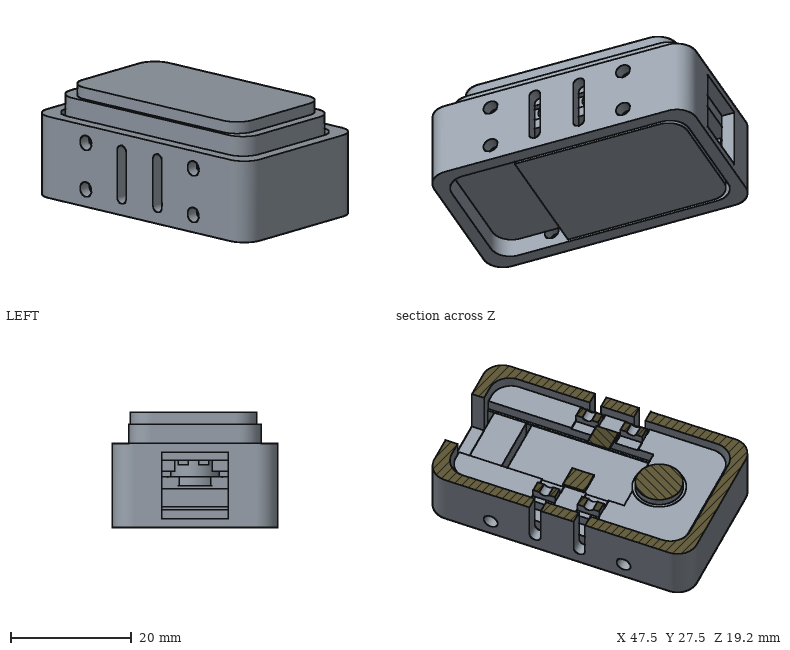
import cadquery as cq

CORNER_RADIUS = 3.5

WALL = 2.25
CAVITY_X = 43.0
CAVITY_Y = 23.0
HOUSING_X = CAVITY_X + 2 * WALL
HOUSING_Y = CAVITY_Y + 2 * WALL
HOUSING_HEIGHT = 14.0
WINDOW_SIZE = 11.0
WINDOW_CENTER_Z = 7.0
SCREW_HOLE_DIAMETER = 2.53
SCREW_HOLE_X = 12.0
SCREW_HOLE_HEIGHTS = (3.0, 11.0)
GUIDE_X = 4.0
GUIDE_SLOT_WIDTH = 2.0
GUIDE_SLOT_LENGTH = 10.0
GUIDE_SLOT_CENTER_Z = 7.0

CLEARANCE = 0.5
INNER_X = CAVITY_X - 2 * CLEARANCE
INNER_Y = CAVITY_Y - 2 * CLEARANCE

CAP_BOTTOM = 11.18
CAP_THICKNESS = 6.0
CAP_TOP = CAP_BOTTOM + CAP_THICKNESS
LUG_WIDTH = 4.0
LUG_THICKNESS = 2.0
LUG_DROP = 3.0
LUG_BOTTOM = CAP_BOTTOM - LUG_DROP
LUG_CENTER_Y = 9.0
LUG_HOLE_DIAMETER = 2.0
LUG_HOLE_Z = CAP_BOTTOM - LUG_HOLE_DIAMETER / 2

OFFSET_Y = 0.25
PAD_X = 38.0
PAD_Y = 21.0
PAD_THICKNESS = 2.0
SPACER_GAP = 6.15
SPACER_X = 4.0
SPACER_Y = 4.0
SPACER_HEIGHT = 1.83
CHIP_PITCH = 3.4
CHIP_X = 0.8
CHIP_Y = 1.6
CHIP_HEIGHT = 0.75

TRAY_TOP = 8.43
SILL_Z = 3.0
SILL_DEPTH = 1.7
FLOOR_Z = 3.46
SHELF_Z = 6.47
LOWER_POCKET_Y = 11.5
UPPER_POCKET_Y = 12.3
SIDE_OPENING_TOP = 6.33
SIDE_OPENING_START_X = -14.0
SIDE_OPENING_END_X = 8.0

BLOCK_START_X = -19.78

BUTTON_X = 12.5
BUTTON_BASE_DIAMETER = 9.0
BUTTON_BASE_BOTTOM = 6.93
BUTTON_STEM_DIAMETER = 8.0
PLATFORM_SETBACK = 3.69
PLATFORM_FRONT_X = BUTTON_X - PLATFORM_SETBACK


def box_between(x_range, y_range, z_range):
    """Box spanning the given (low, high) ranges."""
    size_x = x_range[1] - x_range[0]
    size_y = y_range[1] - y_range[0]
    size_z = z_range[1] - z_range[0]
    corner = (x_range[0], y_range[0], z_range[0])
    return cq.Workplane("XY").box(size_x, size_y, size_z, centered=False).translate(corner)


def rounded_plate(size_x, size_y, bottom, top):
    """Upright prism with rounded vertical corners, centred on the Z axis."""
    plate = cq.Workplane("XY").workplane(offset=bottom).rect(size_x, size_y).extrude(top - bottom)
    return plate.edges("|Z").fillet(CORNER_RADIUS)


def cylinder(diameter, x, bottom, top):
    """Upright cylinder on the X axis line."""
    return cq.Workplane("XY", origin=(x, 0, bottom)).circle(diameter / 2).extrude(top - bottom)


def make_housing():
    sleeve = rounded_plate(HOUSING_X, HOUSING_Y, 0, HOUSING_HEIGHT)
    sleeve = sleeve.cut(rounded_plate(CAVITY_X, CAVITY_Y, 0, HOUSING_HEIGHT))

    window_half = WINDOW_SIZE / 2
    window = box_between(
        (-HOUSING_X / 2, -CAVITY_X / 2),
        (-window_half, window_half),
        (WINDOW_CENTER_Z - window_half, WINDOW_CENTER_Z + window_half),
    )
    screw_points = [(side * SCREW_HOLE_X, z) for side in (-1, 1) for z in SCREW_HOLE_HEIGHTS]
    screw_holes = (
        cq.Workplane("XZ")
        .pushPoints(screw_points)
        .circle(SCREW_HOLE_DIAMETER / 2)
        .extrude(HOUSING_Y / 2, both=True)
    )
    guide_slots = (
        cq.Workplane("XZ")
        .pushPoints([(side * GUIDE_X, GUIDE_SLOT_CENTER_Z) for side in (-1, 1)])
        .slot2D(GUIDE_SLOT_LENGTH, GUIDE_SLOT_WIDTH, 90)
        .extrude(HOUSING_Y / 2, both=True)
    )
    return sleeve.cut(window).cut(screw_holes).cut(guide_slots)


def make_cap():
    cap = rounded_plate(INNER_X, INNER_Y, CAP_BOTTOM, CAP_TOP)
    lugs = (
        cq.Workplane("XY", origin=(0, 0, LUG_BOTTOM))
        .rect(2 * GUIDE_X, 2 * LUG_CENTER_Y, forConstruction=True)
        .vertices()
        .rect(LUG_WIDTH, LUG_THICKNESS)
        .extrude(LUG_DROP)
    )
    lug_holes = (
        cq.Workplane("XZ")
        .pushPoints([(side * GUIDE_X, LUG_HOLE_Z) for side in (-1, 1)])
        .circle(LUG_HOLE_DIAMETER / 2)
        .extrude(INNER_Y / 2, both=True)
    )
    return cap.union(lugs.cut(lug_holes))


def make_pad():
    return rounded_plate(PAD_X, PAD_Y, CAP_TOP, CAP_TOP + PAD_THICKNESS).translate((0, OFFSET_Y, 0))


def make_hanging_part(size_x, size_y, height, center_y):
    """Small box fixed to the underside of the cap."""
    return box_between(
        (-size_x / 2, size_x / 2),
        (center_y - size_y / 2, center_y + size_y / 2),
        (CAP_BOTTOM - height, CAP_BOTTOM),
    )


def make_button():
    base = cylinder(BUTTON_BASE_DIAMETER, BUTTON_X, BUTTON_BASE_BOTTOM, TRAY_TOP)
    stem = cylinder(BUTTON_STEM_DIAMETER, BUTTON_X, TRAY_TOP, CAP_BOTTOM)
    return base.union(stem)


def make_block():
    return box_between(
        (BLOCK_START_X, SIDE_OPENING_START_X),
        (-LOWER_POCKET_Y / 2, LOWER_POCKET_Y / 2),
        (FLOOR_Z, SHELF_Z),
    )


def make_tray():
    end_x = INNER_X / 2
    side_y = INNER_Y / 2
    full_y = (-side_y, side_y)
    lower_y = (-LOWER_POCKET_Y / 2, LOWER_POCKET_Y / 2)
    upper_y = (-UPPER_POCKET_Y / 2, UPPER_POCKET_Y / 2)
    opening_x = (SIDE_OPENING_START_X, SIDE_OPENING_END_X)

    tray = rounded_plate(INNER_X, INNER_Y, 0, TRAY_TOP)

    tray = tray.cut(box_between((-end_x, -end_x + SILL_DEPTH), lower_y, (SILL_Z, SHELF_Z)))
    tray = tray.cut(box_between((-end_x, PLATFORM_FRONT_X), lower_y, (FLOOR_Z, SHELF_Z)))
    tray = tray.cut(box_between((-end_x, PLATFORM_FRONT_X), upper_y, (SHELF_Z, TRAY_TOP)))

    tray = tray.cut(box_between(opening_x, full_y, (FLOOR_Z, SIDE_OPENING_TOP)))

    tray = tray.cut(box_between((PLATFORM_FRONT_X, end_x), full_y, (0, SILL_Z)))

    for side in (-1, 1):
        notch_x = (side * GUIDE_X - LUG_WIDTH / 2, side * GUIDE_X + LUG_WIDTH / 2)
        tray = tray.cut(box_between(notch_x, full_y, (LUG_BOTTOM, TRAY_TOP)))

    return tray.cut(cylinder(BUTTON_BASE_DIAMETER, BUTTON_X, BUTTON_BASE_BOTTOM, TRAY_TOP))


housing = make_housing()
tray = make_tray()
block = make_block()
button = make_button()
cap = make_cap()
pad = make_pad()

spacers = []
chips = []
for side in (-1, 1):
    spacer_y = OFFSET_Y + side * (SPACER_GAP + SPACER_Y) / 2
    spacers.append(make_hanging_part(SPACER_X, SPACER_Y, SPACER_HEIGHT, spacer_y))
    chip_y = OFFSET_Y + side * CHIP_PITCH / 2
    chips.append(make_hanging_part(CHIP_X, CHIP_Y, CHIP_HEIGHT, chip_y))

bodies = [housing, tray, block, button, cap, pad, *spacers, *chips]
result = cq.Compound.makeCompound([body.val() for body in bodies])